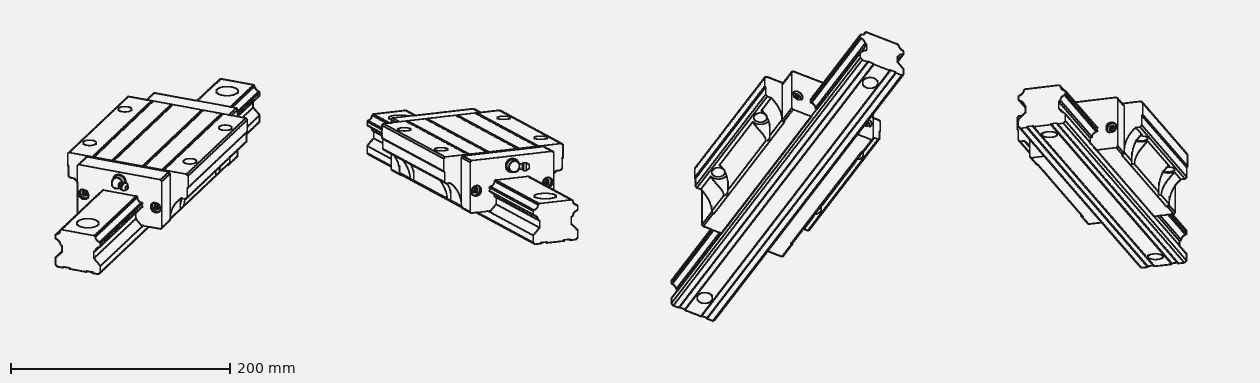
import cadquery as cq
import math


rail_length = 360.0
rail_width = 45.0
rail_height = 38.0
rail_foot_chamfer = 2.0
rail_foot_height = 8.7
rail_waist_width = 32.0
rail_waist_top = 21.7
rail_head_bottom = 28.3
rail_head_top = 31.5
rail_edge_chamfer = 0.9
rail_top_width = 33.0
rail_top_chamfer = 1.0
ball_groove_height = 4.5
ball_groove_sagitta = 1.0

rail_relief_inner = 8.5
rail_relief_outer = 14.5
rail_relief_depth = 0.9

rail_hole_end_distance = 22.5
rail_hole_diameter = 14.0
rail_counterbore_diameter = 20.0
rail_counterbore_depth = 17.0

carriage_bottom = 9.5
block_width = 120.0
block_length = 134.0
block_top = 60.0
block_top_chamfer = 1.5
block_bottom_chamfer = 2.2
step_height = 46.3
step_depth = 0.8
step_slope = 1.0
flange_bottom = 34.8
flange_bottom_chamfer = 1.7
scallop_outer_x = 53.5
scallop_middle = (46.6, 27.3)
skirt_half_width = 42.2
skirt_arc_end = 12.0

groove_positions = (15.2, 34.8)
groove_width = 1.1
groove_depth = 0.8

mount_pitch_x = 100.0
mount_pitch_y = 80.0
mount_hole_diameter = 12.0
spotface_diameter = 17.6

carriage_length = 171.2
cap_width = 84.4
cap_top = 59.0
cap_chamfer = 1.4

screw_spacing = 71.7
screw_height = 30.0
screw_recess_diameter = 9.8
screw_recess_depth = 3.0
screw_bore_diameter = 5.4
screw_bore_depth = 5.0
screw_tip_diameter = 3.4
screw_tip_depth = 7.0

nipple_height = 50.2
nipple_collar_radius = 6.4
nipple_collar_thickness = 0.2
nipple_body_radius = 5.4
nipple_body_length = 5.0
nipple_ball_distance = 5.5
nipple_ball_radius = 5.1
spout_angle = 25.0
spout_neck_radius = 2.4
spout_neck_end = 7.2
spout_bulge_radius = 3.7
spout_shoulder = 8.2
spout_bulge_end = 10.5
spout_tip_radius = 1.8
spout_tip_end = 13.2


def extrude_along_y(outline, length):
    """Extrude an XZ outline symmetrically about Y = 0."""
    return outline.extrude(length / 2, both=True)


def both_sides(distance):
    return (-distance, distance)


def rail_section():
    """Rail outline: foot, waist, head and the two ball grooves of each side."""
    half = rail_width / 2
    foot = half - rail_foot_chamfer
    waist = rail_waist_width / 2
    top = rail_top_width / 2
    shoulder = top + rail_top_chamfer
    edge = half - rail_edge_chamfer
    lower_end = rail_head_bottom - rail_edge_chamfer
    lower_start = lower_end - ball_groove_height
    upper_start = rail_head_top + rail_edge_chamfer
    upper_end = upper_start + ball_groove_height
    groove_run = edge - shoulder
    chord = math.hypot(groove_run, ball_groove_height)
    inward = ball_groove_sagitta * ball_groove_height / chord
    vertical = ball_groove_sagitta * groove_run / chord
    middle = (shoulder + edge) / 2 - inward
    lower_middle = (middle, (lower_start + lower_end) / 2 + vertical)
    upper_middle = (middle, (upper_start + upper_end) / 2 - vertical)
    profile = (
        cq.Workplane("XZ")
        .lineTo(foot, 0)
        .lineTo(half, rail_foot_chamfer)
        .lineTo(half, rail_foot_height)
        .lineTo(waist, rail_foot_height + half - waist)
        .lineTo(waist, rail_waist_top)
        .lineTo(shoulder, lower_start)
        .threePointArc(lower_middle, (edge, lower_end))
        .lineTo(half, rail_head_bottom)
        .lineTo(half, rail_head_top)
        .lineTo(edge, upper_start)
        .threePointArc(upper_middle, (shoulder, upper_end))
        .lineTo(top, rail_height)
        .lineTo(0, rail_height)
    )
    return profile.mirrorY()


def make_rail():
    rail = extrude_along_y(rail_section(), rail_length)
    relief_width = rail_relief_outer - rail_relief_inner
    relief_centre = (rail_relief_outer + rail_relief_inner) / 2
    for x in both_sides(relief_centre):
        relief = cq.Workplane("XY").box(relief_width, rail_length, 2 * rail_relief_depth)
        rail = rail.cut(relief.translate((x, 0, 0)))
    hole_y = rail_length / 2 - rail_hole_end_distance
    return (
        rail.faces(">Z")
        .workplane(origin=(0, 0, rail_height))
        .pushPoints([(0, y) for y in both_sides(hole_y)])
        .cboreHole(rail_hole_diameter, rail_counterbore_diameter, rail_counterbore_depth)
    )


def make_block():
    """Flanged block with scalloped skirts."""
    half = block_width / 2
    stepped = half - step_depth
    outline = (
        cq.Workplane("XZ")
        .moveTo(0, carriage_bottom)
        .lineTo(skirt_half_width - block_bottom_chamfer, carriage_bottom)
        .lineTo(skirt_half_width, skirt_arc_end)
        .threePointArc(scallop_middle, (scallop_outer_x, flange_bottom))
        .lineTo(stepped - flange_bottom_chamfer, flange_bottom)
        .lineTo(stepped, flange_bottom + flange_bottom_chamfer)
        .lineTo(stepped, step_height - step_slope / 2)
        .lineTo(half, step_height + step_slope / 2)
        .lineTo(half, block_top - block_top_chamfer)
        .lineTo(half - block_top_chamfer, block_top)
        .lineTo(0, block_top)
        .mirrorY()
    )
    return extrude_along_y(outline, block_length)


def cut_top_grooves(block):
    for position in groove_positions:
        for x in both_sides(position):
            groove = cq.Workplane("XY").box(groove_width, block_length, 2 * groove_depth)
            block = block.cut(groove.translate((x, 0, block_top)))
    return block


def cut_mounting_holes(block):
    """Through holes in the flanges, with a spot face for the bolt head in the scallop below each."""
    places = [(x, y) for x in both_sides(mount_pitch_x / 2) for y in both_sides(mount_pitch_y / 2)]
    holes = cq.Workplane("XY").pushPoints(places).circle(mount_hole_diameter / 2).extrude(block_top)
    spotfaces = cq.Workplane("XY").pushPoints(places).circle(spotface_diameter / 2).extrude(flange_bottom)
    return block.cut(holes).cut(spotfaces)


def make_cap_bar():
    """Bar that forms the end caps at both ends of the block."""
    height = cap_top - carriage_bottom
    bar = cq.Workplane("XY").box(cap_width, carriage_length, height, centered=(True, True, False))
    return bar.edges("|Y").chamfer(cap_chamfer).translate((0, 0, carriage_bottom))


def cut_end_screw_holes(carriage):
    """Stepped screw holes in both end faces."""
    steps = (
        (screw_recess_diameter, screw_recess_depth),
        (screw_bore_diameter, screw_bore_depth),
        (screw_tip_diameter, screw_tip_depth),
    )
    for x in both_sides(screw_spacing / 2):
        for end in (-1, 1):
            face_centre = cq.Vector(x, end * carriage_length / 2, screw_height)
            inward = cq.Vector(0, -end, 0)
            for diameter, depth in steps:
                carriage = carriage.cut(cq.Solid.makeCylinder(diameter / 2, depth, face_centre, inward))
    return carriage


def make_carriage():
    block = cut_mounting_holes(cut_top_grooves(make_block()))
    middle = cq.Workplane("XY").box(block_width, block_length, 2 * block_top)
    caps = make_cap_bar().cut(middle)
    carriage = cut_end_screw_holes(block.union(caps))
    return carriage.cut(extrude_along_y(rail_section(), rail_length))


def make_nipple():
    """Round base on the front end face, a ball on its end and a spout that leaves the ball sideways."""
    face_y = -carriage_length / 2
    seat = cq.Workplane("XZ", origin=(0, face_y, nipple_height))
    collar = seat.circle(nipple_collar_radius).extrude(nipple_collar_thickness)
    body = seat.circle(nipple_body_radius).extrude(nipple_body_length)
    ball_y = face_y - nipple_ball_distance
    ball = cq.Workplane("XY").sphere(nipple_ball_radius).translate((0, ball_y, nipple_height))
    spout = (
        cq.Workplane("XY")
        .lineTo(0, spout_neck_radius)
        .lineTo(spout_neck_end, spout_neck_radius)
        .lineTo(spout_shoulder, spout_bulge_radius)
        .lineTo(spout_bulge_end, spout_bulge_radius)
        .lineTo(spout_tip_end, spout_tip_radius)
        .lineTo(spout_tip_end, 0)
        .close()
        .revolve(360, (0, 0, 0), (1, 0, 0))
        .rotate((0, 0, 0), (0, 0, 1), -spout_angle)
        .translate((0, ball_y, nipple_height))
    )
    return collar.union(body).union(ball).union(spout)


rail = make_rail()
carriage = make_carriage()
nipple = make_nipple()

result = cq.Compound.makeCompound([
    *rail.solids().vals(),
    *carriage.solids().vals(),
    *nipple.solids().vals(),
])